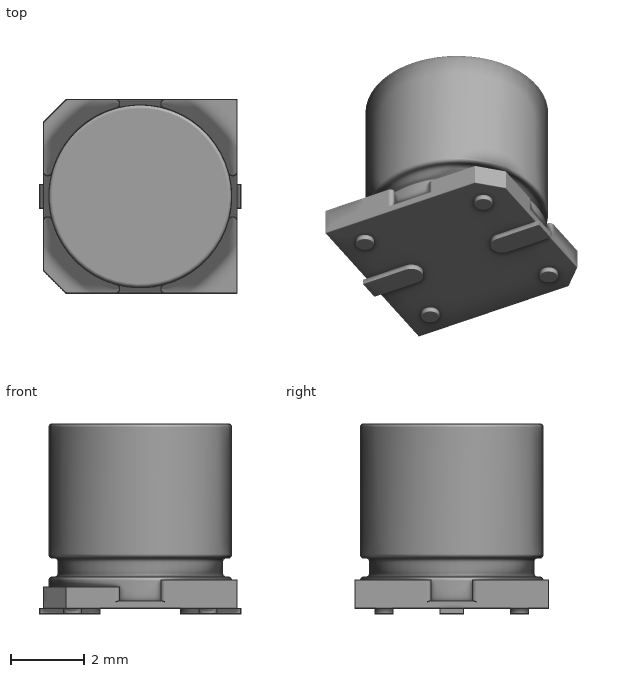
import cadquery as cq
import math


total_height = 5.2
lead_span = 5.5
base_side = 5.3

can_radius = 5.0 / 2
neck_radius = 4.5 / 2
can_edge_radius = 0.1
neck_bottom_z = 1.11
neck_top_z = 1.43

base_bottom_z = 0.15
plate_top_z = 0.35
low_corner_top_z = 0.74
high_corner_top_z = 0.93
corner_chamfer = 0.62
tip_radius = 0.12
base_edge_radius = 0.025

lead_width = 0.65
lead_inner_x = 1.1
pin_diameter = 0.5
pin_edge_radius = 0.02
pin_offset = 1.85

half_side = base_side / 2
cos_45 = math.cos(math.radians(45))


def make_can():
    """Revolved can: rounded top rim and a crimped neck with S-shaped shoulders."""
    start_z = base_bottom_z + base_edge_radius
    r = can_edge_radius
    diagonal = r * cos_45
    rim_inset = can_radius - r
    neck_flare = neck_radius + r
    lower_ledge_z = neck_bottom_z - r
    upper_ledge_z = neck_top_z + r
    body_bottom_z = upper_ledge_z + r
    flange_top_z = lower_ledge_z - r
    rim_z = total_height - r

    profile = (
        cq.Workplane("XZ")
        .moveTo(0, start_z)
        .lineTo(can_radius, start_z)
        .lineTo(can_radius, flange_top_z)
        .threePointArc((rim_inset + diagonal, flange_top_z + diagonal), (rim_inset, lower_ledge_z))
        .lineTo(neck_flare, lower_ledge_z)
        .threePointArc((neck_flare - diagonal, neck_bottom_z - diagonal), (neck_radius, neck_bottom_z))
        .lineTo(neck_radius, neck_top_z)
        .threePointArc((neck_flare - diagonal, neck_top_z + diagonal), (neck_flare, upper_ledge_z))
        .lineTo(rim_inset, upper_ledge_z)
        .threePointArc((rim_inset + diagonal, body_bottom_z - diagonal), (can_radius, body_bottom_z))
        .lineTo(can_radius, rim_z)
        .threePointArc((rim_inset + diagonal, rim_z + diagonal), (rim_inset, total_height))
        .lineTo(0, total_height)
        .close()
    )
    return profile.revolve(360, (0, 0, 0), (0, 1, 0))


def base_outline(bottom_z, top_z):
    """Square prism with chamfered -X corners and slightly rounded +X corners."""
    return (
        cq.Workplane("XY")
        .workplane(offset=bottom_z)
        .rect(base_side, base_side)
        .extrude(top_z - bottom_z)
        .edges("|Z and <X")
        .chamfer(corner_chamfer)
        .edges("|Z and >X")
        .fillet(base_edge_radius)
    )


def make_plate():
    """Floor of the base, rounded along its bottom and top edges."""
    return base_outline(base_bottom_z, plate_top_z).faces("<Z or >Z").edges().fillet(base_edge_radius)


def make_corner(x_sign, y_sign, top_z):
    """Corner block hugging the can, with full-round tips next to the side notches."""
    bottom_z = plate_top_z - 2 * base_edge_radius

    tip_centre_far = half_side - tip_radius
    tip_centre_near = math.sqrt((can_radius + tip_radius) ** 2 - tip_centre_far**2)
    to_can = can_radius / (can_radius + tip_radius)
    can_near = tip_centre_near * to_can
    can_far = tip_centre_far * to_can
    tip_near = tip_centre_near - tip_radius
    can_diagonal = can_radius * cos_45

    def at(x, y):
        return (x_sign * x, y_sign * y)

    block = (
        cq.Workplane("XY")
        .workplane(offset=bottom_z)
        .moveTo(*at(half_side, half_side))
        .lineTo(*at(tip_centre_near, half_side))
        .threePointArc(at(tip_near, tip_centre_far), at(can_near, can_far))
        .threePointArc(at(can_diagonal, can_diagonal), at(can_far, can_near))
        .threePointArc(at(tip_centre_far, tip_near), at(half_side, tip_centre_near))
        .close()
        .extrude(top_z - bottom_z)
        .intersect(base_outline(bottom_z, top_z))
    )
    return block.faces(">Z").edges().fillet(base_edge_radius)


def make_lead(x_sign):
    """Flat lead reaching out past the base, with a full-round inner end."""
    round_radius = lead_width / 2
    round_centre_x = lead_inner_x + round_radius
    return (
        cq.Workplane("XY")
        .moveTo(x_sign * lead_span / 2, round_radius)
        .lineTo(x_sign * round_centre_x, round_radius)
        .threePointArc((x_sign * lead_inner_x, 0), (x_sign * round_centre_x, -round_radius))
        .lineTo(x_sign * lead_span / 2, -round_radius)
        .close()
        .extrude(base_bottom_z)
    )


def make_pins():
    """Four round standoff pins under the base corners, rounded at both ends."""
    return (
        cq.Workplane("XY")
        .rect(2 * pin_offset, 2 * pin_offset, forConstruction=True)
        .vertices()
        .circle(pin_diameter / 2)
        .extrude(base_bottom_z)
        .edges()
        .fillet(pin_edge_radius)
    )


result = make_plate()
for x_sign, corner_top_z in ((-1, low_corner_top_z), (1, high_corner_top_z)):
    for y_sign in (-1, 1):
        result = result.union(make_corner(x_sign, y_sign, corner_top_z))
    result = result.union(make_lead(x_sign))
result = result.union(make_pins()).union(make_can())